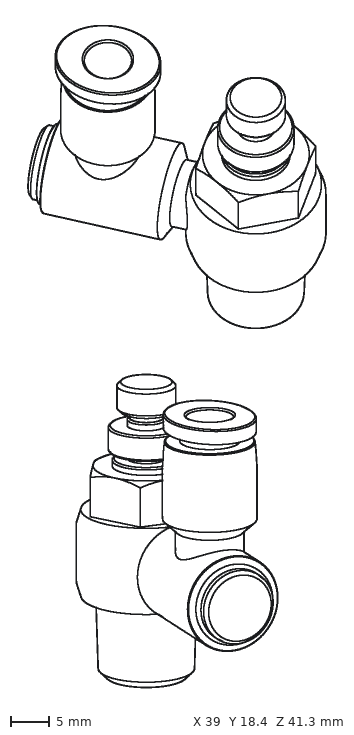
import cadquery as cq
import math


STUD_LENGTH = 11.0
STUD_TOP_RADIUS = 6.65
STUD_TAPER = 1 / 32
STUD_CHAMFER = 1.05

BODY_RADIUS = 9.2
BODY_END_RADIUS = 8.6
BODY_BOTTOM_Z = STUD_LENGTH
BODY_TOP_Z = 22.8
BODY_CONE_HEIGHT = 1.95

HEX_ACROSS_FLATS = 14.0
HEX_HEIGHT = 6.0
HEX_TOP_Z = BODY_TOP_Z + HEX_HEIGHT
HEX_TURN = 30
HEX_CHAMFER_ANGLE = 30

BASE_RING_RADIUS = 4.5
BASE_RING_TOP_Z = HEX_TOP_Z + 1.0
BASE_RING_CHAMFER = 0.25
STEM_RADIUS = 2.5
STEM_TOP_Z = 35.35
STEM_CHAMFER = 0.25
LOCK_NUT_RADIUS = 5.0
LOCK_NUT_BOTTOM_Z = 30.8
LOCK_NUT_HEIGHT = 3.5
LOCK_NUT_CHAMFER = 0.25
KNOB_NECK_RADIUS = 2.2
KNOB_RADIUS = 3.87
KNOB_BOTTOM_Z = 36.25
KNOB_HEIGHT = 4.0
KNOB_CHAMFER = 0.5

ARM_RADIUS = 6.5
ARM_AXIS_Z = BODY_BOTTOM_Z + ARM_RADIUS
ARM_END_X = -27.6
ARM_END_CHAMFER = 0.1
ARM_CONE_START_X = -11.55
ARM_CONE_END_X = -10.45
ARM_NECK_RADIUS = 4.5

PLUG_RING_RADIUS = 5.5
PLUG_RING_WIDTH = 0.85
PLUG_RADIUS = 5.0
PLUG_END_X = -29.8
PLUG_CHAMFER = 0.5

SOCKET_X = -20.2
SOCKET_NECK_RADIUS = 4.5
SOCKET_NECK_TOP_Z = 25.5
SOCKET_RADIUS = 6.2
SOCKET_BOTTOM_Z = 27.1
SOCKET_TAPER_START_Z = 34.3
SOCKET_RIM_RADIUS = 6.08
SOCKET_RIM_Z = 36.25
SOCKET_TOP_RADIUS = 5.95
SOCKET_TOP_Z = 37.75
SOCKET_TOP_CHAMFER = 0.15

COLLAR_NECK_RADIUS = 3.95
COLLAR_LENGTH_X = 14.0
COLLAR_WIDTH_Y = 11.8
COLLAR_BOTTOM_Z = 39.3
COLLAR_TOP_Z = 41.3
COLLAR_CHAMFER = 0.2
BORE_RADIUS = 3.1
BORE_CHAMFER = 0.25
BORE_FLOOR_Z = SOCKET_BOTTOM_Z


def cylinder_z(radius, bottom, top):
    """Upright cylinder on the Z axis between two heights."""
    return cq.Workplane("XY").workplane(offset=bottom).circle(radius).extrude(top - bottom)


def revolve_z(profile):
    """Turn (radius, z) points, closed along the axis, about Z."""
    bottom = profile[0][1]
    top = profile[-1][1]
    outline = [(0, bottom)] + profile + [(0, top)]
    return cq.Workplane("XZ").polyline(outline).close().revolve(360, (0, 0, 0), (0, 1, 0))


def cylinder_x(radius, start, end):
    """Cylinder on the arm axis between two X positions."""
    plane = cq.Workplane("YZ", origin=(start, 0, ARM_AXIS_Z))
    return plane.circle(radius).extrude(end - start)


def make_stud():
    tip_radius = STUD_TOP_RADIUS - STUD_TAPER * STUD_LENGTH
    chamfer_radius = tip_radius + STUD_TAPER * STUD_CHAMFER
    return revolve_z([
        (chamfer_radius - STUD_CHAMFER, 0),
        (chamfer_radius, STUD_CHAMFER),
        (STUD_TOP_RADIUS, STUD_LENGTH),
    ])


def make_body():
    return revolve_z([
        (BODY_END_RADIUS, BODY_BOTTOM_Z),
        (BODY_RADIUS, BODY_BOTTOM_Z + BODY_CONE_HEIGHT),
        (BODY_RADIUS, BODY_TOP_Z - BODY_CONE_HEIGHT),
        (BODY_END_RADIUS, BODY_TOP_Z),
    ])


def make_hexagon():
    """Hexagon with flats facing +X and -X and its top corners turned to a cone."""
    flat_radius = HEX_ACROSS_FLATS / 2
    corner_radius = flat_radius / math.cos(math.pi / 6)
    prism = (
        cq.Workplane("XY", origin=(0, 0, BODY_TOP_Z))
        .transformed(rotate=(0, 0, HEX_TURN))
        .polygon(6, 2 * corner_radius)
        .extrude(HEX_HEIGHT)
    )
    cone_drop = HEX_HEIGHT / 2
    cone_run = cone_drop / math.tan(math.radians(HEX_CHAMFER_ANGLE))
    envelope = revolve_z([
        (flat_radius + cone_run, BODY_TOP_Z),
        (flat_radius + cone_run, HEX_TOP_Z - cone_drop),
        (flat_radius, HEX_TOP_Z),
    ])
    return prism.intersect(envelope)


def make_needle_valve():
    knob_top = KNOB_BOTTOM_Z + KNOB_HEIGHT
    nut_top = LOCK_NUT_BOTTOM_Z + LOCK_NUT_HEIGHT
    ring = cylinder_z(BASE_RING_RADIUS, HEX_TOP_Z, BASE_RING_TOP_Z)
    stem = cylinder_z(STEM_RADIUS, HEX_TOP_Z, STEM_TOP_Z)
    nut = cylinder_z(LOCK_NUT_RADIUS, LOCK_NUT_BOTTOM_Z, nut_top)
    neck = cylinder_z(KNOB_NECK_RADIUS, HEX_TOP_Z, knob_top)
    knob = cylinder_z(KNOB_RADIUS, KNOB_BOTTOM_Z, knob_top)
    return (
        ring.faces(">Z").chamfer(BASE_RING_CHAMFER)
        .union(stem.faces(">Z").chamfer(STEM_CHAMFER))
        .union(nut.edges("%CIRCLE").chamfer(LOCK_NUT_CHAMFER))
        .union(neck)
        .union(knob.edges("%CIRCLE").chamfer(KNOB_CHAMFER))
    )


def make_arm():
    """Barrel, cone and neck reaching to the body axis."""
    barrel = cylinder_x(ARM_RADIUS, ARM_END_X, ARM_CONE_START_X)
    cone = (
        cq.Workplane("YZ", origin=(ARM_CONE_START_X, 0, ARM_AXIS_Z))
        .circle(ARM_RADIUS)
        .workplane(offset=ARM_CONE_END_X - ARM_CONE_START_X)
        .circle(ARM_NECK_RADIUS)
        .loft()
    )
    neck = cylinder_x(ARM_NECK_RADIUS, ARM_CONE_START_X, 0)
    return barrel.faces("<X").chamfer(ARM_END_CHAMFER).union(cone).union(neck)


def make_plug():
    """Plug disc with a ring whose edge is a half round."""
    outer_x = ARM_END_X - PLUG_RING_WIDTH
    crown_start = PLUG_RING_RADIUS - PLUG_RING_WIDTH / 2
    ring = (
        cq.Workplane("XY", origin=(0, 0, ARM_AXIS_Z))
        .moveTo(outer_x, 0)
        .lineTo(outer_x, crown_start)
        .threePointArc((outer_x + PLUG_RING_WIDTH / 2, PLUG_RING_RADIUS), (ARM_END_X, crown_start))
        .lineTo(ARM_END_X, 0)
        .close()
        .revolve(360, (0, 0, 0), (1, 0, 0))
    )
    plug = cylinder_x(PLUG_RADIUS, PLUG_END_X, ARM_END_X)
    return ring.union(plug.faces("<X").chamfer(PLUG_CHAMFER))


def make_socket():
    shell = revolve_z([
        (SOCKET_NECK_RADIUS, ARM_AXIS_Z),
        (SOCKET_NECK_RADIUS, SOCKET_NECK_TOP_Z),
        (SOCKET_RADIUS, SOCKET_BOTTOM_Z),
        (SOCKET_RADIUS, SOCKET_TAPER_START_Z),
        (SOCKET_RIM_RADIUS, SOCKET_RIM_Z),
        (SOCKET_TOP_RADIUS, SOCKET_TOP_Z - SOCKET_TOP_CHAMFER),
        (SOCKET_TOP_RADIUS - SOCKET_TOP_CHAMFER, SOCKET_TOP_Z),
    ])
    collar_neck = cylinder_z(COLLAR_NECK_RADIUS, SOCKET_TOP_Z, COLLAR_TOP_Z)
    collar = (
        cq.Workplane("XY", origin=(0, 0, COLLAR_BOTTOM_Z))
        .ellipse(COLLAR_LENGTH_X / 2, COLLAR_WIDTH_Y / 2)
        .extrude(COLLAR_TOP_Z - COLLAR_BOTTOM_Z)
        .faces(">Z")
        .chamfer(COLLAR_CHAMFER)
    )
    bore = revolve_z([
        (BORE_RADIUS, BORE_FLOOR_Z),
        (BORE_RADIUS, COLLAR_TOP_Z - BORE_CHAMFER),
        (BORE_RADIUS + BORE_CHAMFER, COLLAR_TOP_Z),
    ])
    socket = shell.union(collar_neck).union(collar).cut(bore)
    return socket.translate((SOCKET_X, 0, 0))


result = (
    make_stud()
    .union(make_body())
    .union(make_hexagon())
    .union(make_needle_valve())
    .union(make_arm())
    .union(make_plug())
    .union(make_socket())
)